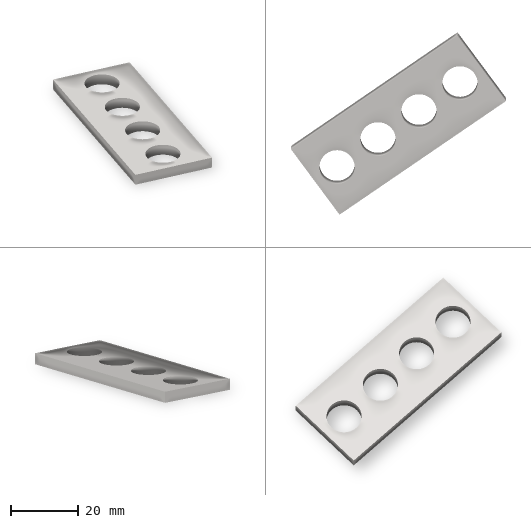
import cadquery as cq

length = 61.0
width = 25.0
thickness = 3.4

hole_count = 4
hole_diameter = 10.5
hole_pitch = 15.0

plate = cq.Workplane("XY").box(length, width, thickness)

result = (
    plate.faces(">Z")
    .workplane()
    .rarray(hole_pitch, 0.6, hole_count, 1)
    .hole(hole_diameter)
)